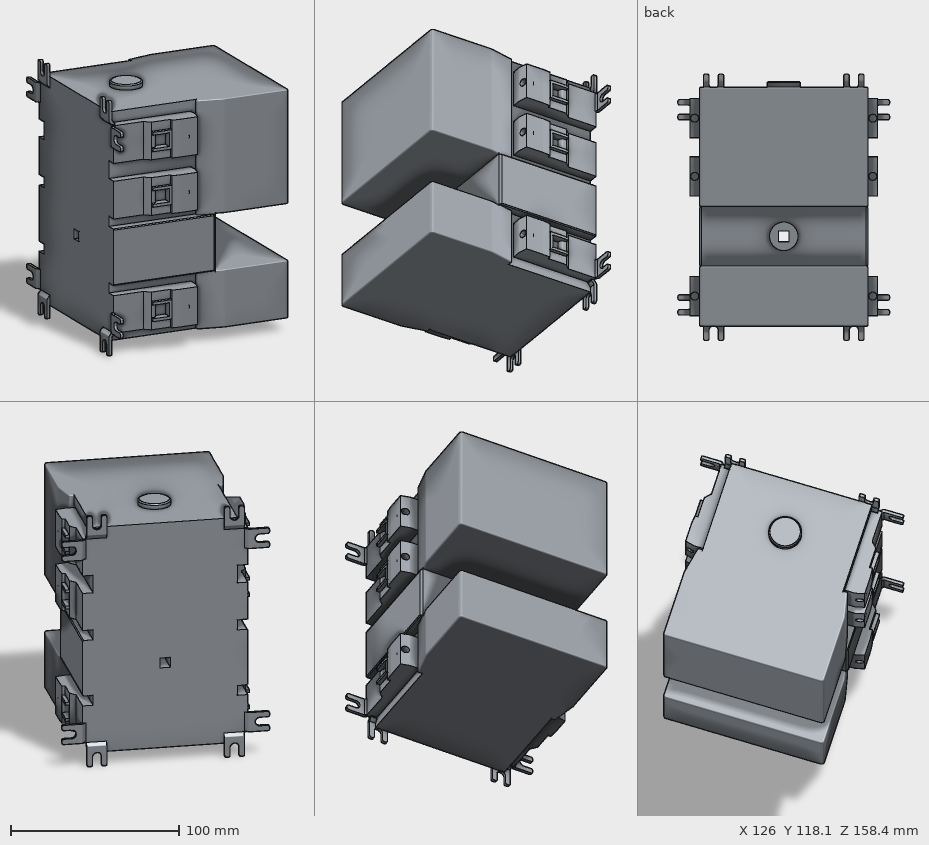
import cadquery as cq
import math

HALF_WIDTH = 50.0
HEIGHT = 142.3
DEPTH = 116.2
CORE_HALF_WIDTH = 43.7

TAPER_START_Y = 73.5
TAPER_END_Y = 57.2
TAPER_END_HALF_WIDTH = 46.6
KNEE_RADIUS = 6.0
REAR_CORNER_RADIUS = 1.9
HOOD_EDGE_RADIUS = 1.0
HOOD_FRONT_RADIUS = 0.6

BLOCK_BOTTOM = 36.0
BLOCK_TOP = 71.1
BLOCK_DEPTH = 68.0
BLOCK_REAR_CHAMFER = 1.5
BLOCK_SIDE_CHAMFER = 0.6
BLOCK_MID = (BLOCK_BOTTOM + BLOCK_TOP) / 2

SHAFT_DIAMETER = 17.0
SHAFT_LENGTH = 11.4
SQUARE_HOLE = 6.2

CAP_DIAMETER = 19.6
CAP_HEIGHT = 3.3
CAP_CHAMFER = 0.8
CAP_Y = 33.0

MODULE_HEIGHT = 23.5
MODULE_BOTTOMS = (6.3, 77.5, 112.0)
MODULE_HALF_WIDTH = 55.8
MODULE_BACK_Y = 54.2
MODULE_SHOULDER_Y = 52.8
BEVEL_START_Y = 41.0
BEVEL_HALF_WIDTH = 55.3
RECESS_BACK_Y = 36.0
RECESS_FRONT_Y = 23.3
RECESS_HALF_WIDTH = 53.4
RAMP_END_Y = 19.6

FRAME_HEIGHT = 12.0
POCKET_HEIGHT = 8.4
POCKET_BACK_Y = 34.0
POCKET_FLOOR_HALF_WIDTH = 50.4
POCKET_ROUND_Y = 24.7
POCKET_ROUND_RADIUS = 2.4

WIRE_HOLE_DIAMETER = 4.8
WIRE_HOLE_END_Y = 47.5
WIRE_HOLE_X = (HALF_WIDTH + MODULE_HALF_WIDTH) / 2

LUG_LENGTH = 14.9
LUG_WIDTH = 12.2
LUG_THICKNESS = 1.9
LUG_BEND_INNER = 11.7
LUG_BEND_OUTER = 12.5
LUG_BEND_RADIUS = 1.6
LUG_ROOT_Y = 1.9
LUG_SLOT_WIDTH = 5.4
LUG_SLOT_DEPTH = 8.7
LUG_TIP_RADIUS = 1.3
TOP_LUG_X = 41.7
TOP_LUG_TIP_Z = 150.0
BOTTOM_LUG_TIP_Z = -8.4
SIDE_LUG_SPAN = 126.0
SIDE_LUG_HEIGHTS = (12.8, 128.8)


def box(x_range, y_range, z_range):
    """Axis-aligned box from its three coordinate ranges."""
    size = [high - low for low, high in (x_range, y_range, z_range)]
    corner = (x_range[0], y_range[0], z_range[0])
    return cq.Workplane("XY").box(*size, centered=False).translate(corner)


def mirrored(solid):
    """The solid together with its mirror image across X = 0."""
    return solid.union(solid.mirror("YZ"))


def make_hoods():
    """Upper and lower rear hood: one tapered body split by a gap behind the middle block."""
    outline = [
        (TAPER_END_HALF_WIDTH, TAPER_END_Y),
        (HALF_WIDTH, TAPER_START_Y),
        (HALF_WIDTH, DEPTH),
        (-HALF_WIDTH, DEPTH),
        (-HALF_WIDTH, TAPER_START_Y),
        (-TAPER_END_HALF_WIDTH, TAPER_END_Y),
    ]
    body = cq.Workplane("XY").polyline(outline).close().extrude(HEIGHT)
    margin = KNEE_RADIUS / 2
    knees = cq.selectors.BoxSelector(
        (-HALF_WIDTH - margin, TAPER_START_Y - margin, 0),
        (HALF_WIDTH + margin, TAPER_START_Y + margin, HEIGHT),
    )
    body = body.edges("|Z").edges(knees).fillet(KNEE_RADIUS)
    body = body.edges("|Z and >Y").fillet(REAR_CORNER_RADIUS)
    body = body.edges("|Z and <Y").fillet(HOOD_FRONT_RADIUS)
    body = body.faces("<Z or >Z").edges("not <Y").fillet(HOOD_EDGE_RADIUS)

    gap = box((-HALF_WIDTH, HALF_WIDTH), (BLOCK_DEPTH, DEPTH), (BLOCK_BOTTOM, BLOCK_TOP))
    body = body.cut(gap)
    for height in (BLOCK_BOTTOM, BLOCK_TOP):
        gap_face = cq.selectors.NearestToPointSelector((0, (BLOCK_DEPTH + DEPTH) / 2, height))
        body = body.faces(gap_face).edges("not <Y").fillet(HOOD_EDGE_RADIUS)
    return body


def make_housing():
    """Narrow core, two rear hoods and the full-width middle block."""
    core_x = (-CORE_HALF_WIDTH, CORE_HALF_WIDTH)
    core = box(core_x, (0, BLOCK_DEPTH), (0, HEIGHT))
    block = box((-HALF_WIDTH, HALF_WIDTH), (0, BLOCK_DEPTH), (BLOCK_BOTTOM, BLOCK_TOP))
    block = block.edges("|Z and >Y").chamfer(BLOCK_REAR_CHAMFER)
    block = block.faces("<X or >X").edges("|Y").chamfer(BLOCK_SIDE_CHAMFER)
    return core.union(make_hoods()).union(block)


def make_shaft():
    """Round stub on the rear face of the middle block."""
    stub = cq.Workplane("XZ").circle(SHAFT_DIAMETER / 2).extrude(-SHAFT_LENGTH)
    return stub.translate((0, BLOCK_DEPTH, BLOCK_MID))


def make_square_hole():
    """Cutter for the square hole through the block and the stub."""
    half = SQUARE_HOLE / 2
    z_range = (BLOCK_MID - half, BLOCK_MID + half)
    return box((-half, half), (0, BLOCK_DEPTH + SHAFT_LENGTH), z_range)


def make_cap():
    """Chamfered round cap on the top face."""
    cap = cq.Workplane("XY").circle(CAP_DIAMETER / 2).extrude(CAP_HEIGHT)
    return cap.faces(">Z").chamfer(CAP_CHAMFER).translate((0, CAP_Y, HEIGHT))


def make_module(bottom):
    """Terminal module on the +X side, with its clamp frame, pocket and wire entry."""
    outline = [
        (0, 0),
        (HALF_WIDTH, 0),
        (HALF_WIDTH, RAMP_END_Y),
        (RECESS_HALF_WIDTH, RECESS_FRONT_Y),
        (RECESS_HALF_WIDTH, RECESS_BACK_Y),
        (BEVEL_HALF_WIDTH, RECESS_BACK_Y),
        (MODULE_HALF_WIDTH, BEVEL_START_Y),
        (MODULE_HALF_WIDTH, MODULE_SHOULDER_Y),
        (HALF_WIDTH, MODULE_BACK_Y),
        (0, MODULE_BACK_Y),
    ]
    module = cq.Workplane("XY").polyline(outline).close().extrude(MODULE_HEIGHT)

    frame_bottom = (MODULE_HEIGHT - FRAME_HEIGHT) / 2
    frame = box(
        (CORE_HALF_WIDTH, MODULE_HALF_WIDTH),
        (RECESS_FRONT_Y, RECESS_BACK_Y),
        (frame_bottom, frame_bottom + FRAME_HEIGHT),
    )

    round_end_x = RECESS_HALF_WIDTH - POCKET_ROUND_RADIUS
    round_end_y = POCKET_ROUND_Y + POCKET_ROUND_RADIUS
    arc_offset = POCKET_ROUND_RADIUS * math.sin(math.radians(45))
    arc_middle = (round_end_x + arc_offset, POCKET_ROUND_Y + arc_offset)
    pocket = (
        cq.Workplane("XY")
        .moveTo(POCKET_FLOOR_HALF_WIDTH, POCKET_BACK_Y)
        .lineTo(MODULE_HALF_WIDTH, POCKET_BACK_Y)
        .lineTo(MODULE_HALF_WIDTH, RECESS_FRONT_Y)
        .lineTo(RECESS_HALF_WIDTH, RECESS_FRONT_Y)
        .lineTo(RECESS_HALF_WIDTH, POCKET_ROUND_Y)
        .threePointArc(arc_middle, (round_end_x, round_end_y))
        .lineTo(POCKET_FLOOR_HALF_WIDTH, round_end_y)
        .close()
        .extrude(POCKET_HEIGHT)
    )
    pocket = pocket.translate((0, 0, (MODULE_HEIGHT - POCKET_HEIGHT) / 2))

    wire_hole = cq.Workplane("XZ").circle(WIRE_HOLE_DIAMETER / 2).extrude(WIRE_HOLE_END_Y - MODULE_BACK_Y)
    wire_hole = wire_hole.translate((WIRE_HOLE_X, WIRE_HOLE_END_Y, MODULE_HEIGHT / 2))
    return module.union(frame).cut(pocket).cut(wire_hole).translate((0, 0, bottom))


def make_lug():
    """Forked lug with its tip at the origin, its root towards -Z."""
    section = [
        (-LUG_THICKNESS, 0),
        (0, 0),
        (0, -LUG_BEND_INNER),
        (LUG_ROOT_Y, -LUG_LENGTH + LUG_THICKNESS / 2),
        (LUG_ROOT_Y, -LUG_LENGTH),
        (0, -LUG_LENGTH),
        (-LUG_THICKNESS, -LUG_BEND_OUTER),
    ]
    lug = cq.Workplane("YZ").polyline(section).close().extrude(LUG_WIDTH / 2, both=True)
    outer_bend = cq.selectors.NearestToPointSelector((0, -LUG_THICKNESS, -LUG_BEND_OUTER))
    lug = lug.edges(outer_bend).fillet(LUG_BEND_RADIUS)
    slot_radius = LUG_SLOT_WIDTH / 2
    slot = (
        cq.Workplane("XZ")
        .moveTo(-slot_radius, 0)
        .lineTo(-slot_radius, slot_radius - LUG_SLOT_DEPTH)
        .threePointArc((0, -LUG_SLOT_DEPTH), (slot_radius, slot_radius - LUG_SLOT_DEPTH))
        .lineTo(slot_radius, 0)
        .close()
        .extrude(LUG_THICKNESS)
    )
    return lug.cut(slot).faces(">Z").edges("|Y").fillet(LUG_TIP_RADIUS)


def make_right_lugs():
    """The four lugs on the +X half: one up, one down and two sideways."""
    lug = make_lug()
    y_axis = ((0, 0, 0), (0, 1, 0))
    lugs = lug.translate((TOP_LUG_X, 0, TOP_LUG_TIP_Z))
    lugs = lugs.add(lug.rotate(*y_axis, 180).translate((TOP_LUG_X, 0, BOTTOM_LUG_TIP_Z)))
    for height in SIDE_LUG_HEIGHTS:
        lugs = lugs.add(lug.rotate(*y_axis, 90).translate((SIDE_LUG_SPAN / 2, 0, height)))
    return lugs.combine()


result = make_housing().union(make_shaft()).union(make_cap())
for module_bottom in MODULE_BOTTOMS:
    result = result.union(mirrored(make_module(module_bottom)))
result = result.cut(make_square_hole())
result = result.union(mirrored(make_right_lugs()))